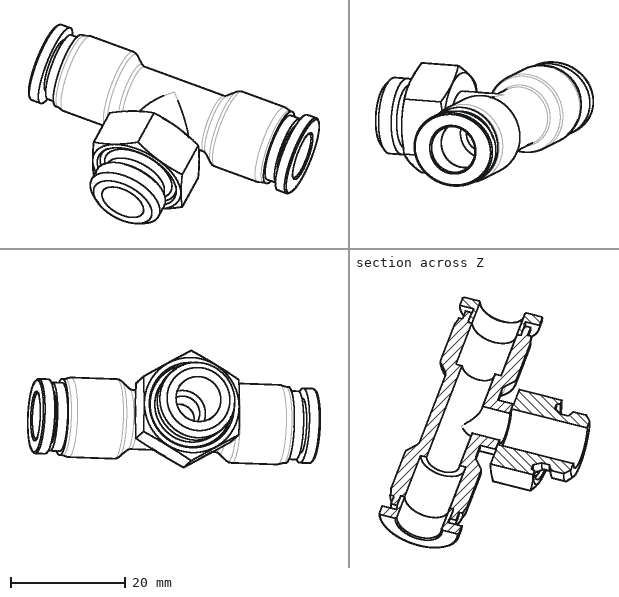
import cadquery as cq
import math

OVERALL_LENGTH = 49.4
OVERALL_DEPTH = 29.25

TUBE_DIA = 10.4
PASSAGE_DIA = 6.0
SOCKET_DIA = 14.0
LIP_DIA = 13.4
NOSE_DIA = 12.0
NOSE_END_X = 21.95
LIP_END_X = 20.15
LIP_LENGTH = 0.5
BARREL_START_X = 18.6
BARREL_CORNER_X = 10.1
SHOULDER_FOOT_X = 8.0
SHOULDER_FILLET = 1.0
TUBE_SEAT_DIA = 8.2
TUBE_STOP_X = 10.4

COLLAR_NECK_DIA = 9.6
COLLAR_BORE_DIA = 8.15
COLLAR_DEPTH = 4.95
COLLAR_BORE_CHAMFER = 0.25
FLANGE_THICKNESS = 2.0
FLANGE_HEIGHT = 13.05
FLANGE_WIDTH = 14.65
FLANGE_CHAMFER = 0.25

HEX_SIDES = 6
HEX_ACROSS_FLATS = 17.0
HEX_START = 8.05
HEX_LENGTH = 7.85
HEX_FACE_DIA = 16.9
HEX_CHAMFER = 0.5
STUD_BORE_DIA = 8.0
NECK_DIA = 11.2
NECK_ROOT_DIA = 12.95
THREAD_DIA = 13.4
THREAD_TIP_DIA = 11.2
TIP_CHAMFER_LENGTH = 1.0
THREAD_LENGTH = 2.35
THREAD_RUNOUT = 0.6
NECK_FLARE_LENGTH = 0.65
SEAL_MOUTH_DIA = 15.15
SEAL_FLOOR_DIA = 14.6
SEAL_DEPTH = 0.65

ORIGIN = (0, 0, 0)

COLLAR_FACE_X = OVERALL_LENGTH / 2
COLLAR_END_X = COLLAR_FACE_X - COLLAR_DEPTH
HEX_END = HEX_START + HEX_LENGTH
STUD_END = OVERALL_DEPTH - FLANGE_WIDTH / 2


def revolve_x(points):
    """Solid of revolution about X from (x, radius) points."""
    return cq.Workplane("XY").polyline(points).close().revolve(axisStart=ORIGIN, axisEnd=(1, 0, 0))


def revolve_y(points):
    """Solid of revolution about Y from (distance towards -Y, radius) points."""
    outline = [(radius, -distance) for distance, radius in points]
    return cq.Workplane("XY").polyline(outline).close().revolve(axisStart=ORIGIN, axisEnd=(0, 1, 0))


def make_run():
    """Outside of the run: a tube with a shoulder cone, barrel, lip and nose at each end."""
    end_profile = [
        (SHOULDER_FOOT_X, TUBE_DIA / 2),
        (BARREL_CORNER_X, SOCKET_DIA / 2),
        (BARREL_START_X, SOCKET_DIA / 2),
        (LIP_END_X - LIP_LENGTH, LIP_DIA / 2),
        (LIP_END_X, LIP_DIA / 2),
        (LIP_END_X, NOSE_DIA / 2),
        (NOSE_END_X, NOSE_DIA / 2),
        (NOSE_END_X, 0),
    ]
    mirrored_profile = [(-x, r) for x, r in reversed(end_profile)]
    run = revolve_x(mirrored_profile + end_profile)
    for side in (-1, 1):
        at_shoulder = cq.selectors.BoxSelector(
            (side * (SHOULDER_FOOT_X - SHOULDER_FILLET), -SOCKET_DIA, -SOCKET_DIA),
            (side * (BARREL_CORNER_X + SHOULDER_FILLET), SOCKET_DIA, SOCKET_DIA),
        )
        run = run.edges(at_shoulder).edges("%CIRCLE").fillet(SHOULDER_FILLET)
    return run


def tee_socket(side):
    """Cavity of one end: collar bore, then the seat of the hose."""
    return revolve_x([
        (side * TUBE_STOP_X, 0),
        (side * TUBE_STOP_X, TUBE_SEAT_DIA / 2),
        (side * COLLAR_END_X, TUBE_SEAT_DIA / 2),
        (side * COLLAR_END_X, COLLAR_NECK_DIA / 2),
        (side * NOSE_END_X, COLLAR_NECK_DIA / 2),
        (side * NOSE_END_X, 0),
    ])


def make_tee_body():
    """Run and branch in one piece, with the flow passages and both sockets."""
    branch = cq.Workplane("XZ").circle(TUBE_DIA / 2).extrude(HEX_START)
    tee = make_run().union(branch)
    run_passage = cq.Workplane("YZ").circle(PASSAGE_DIA / 2).extrude(TUBE_STOP_X, both=True)
    branch_passage = cq.Workplane("XZ").circle(PASSAGE_DIA / 2).extrude(HEX_START)
    return (
        tee.cut(run_passage).cut(branch_passage)
        .cut(tee_socket(1)).cut(tee_socket(-1))
    )


def make_release_collar(side):
    """Push-in collar: elliptical flange outside, round neck inside the barrel."""
    flange = (
        cq.Workplane("YZ", origin=(COLLAR_FACE_X, 0, 0))
        .ellipse(FLANGE_WIDTH / 2, FLANGE_HEIGHT / 2)
        .extrude(-FLANGE_THICKNESS)
        .faces(">X").edges().chamfer(FLANGE_CHAMFER)
    )
    neck = (
        cq.Workplane("YZ", origin=(COLLAR_END_X, 0, 0))
        .circle(COLLAR_NECK_DIA / 2)
        .extrude(COLLAR_DEPTH - FLANGE_THICKNESS)
    )
    bore = revolve_x([
        (COLLAR_END_X, 0),
        (COLLAR_END_X, COLLAR_BORE_DIA / 2),
        (COLLAR_FACE_X - COLLAR_BORE_CHAMFER, COLLAR_BORE_DIA / 2),
        (COLLAR_FACE_X, COLLAR_BORE_DIA / 2 + COLLAR_BORE_CHAMFER),
        (COLLAR_FACE_X, 0),
    ])
    collar = flange.union(neck).cut(bore)
    return collar if side > 0 else collar.mirror("YZ")


def make_hexagon():
    """Hexagon with corners up and down, its corners turned down at both faces."""
    corner_radius = HEX_ACROSS_FLATS / math.sqrt(3)
    prism = (
        cq.Workplane("XZ", origin=(0, -HEX_START, 0))
        .transformed(rotate=(0, 0, 90))
        .polygon(HEX_SIDES, 2 * corner_radius)
        .extrude(HEX_LENGTH)
    )
    turned_blank = revolve_y([
        (HEX_START, 0),
        (HEX_START, HEX_FACE_DIA / 2),
        (HEX_START + HEX_CHAMFER, corner_radius),
        (HEX_END - HEX_CHAMFER, corner_radius),
        (HEX_END, HEX_FACE_DIA / 2),
        (HEX_END, 0),
    ])
    return prism.intersect(turned_blank)


def make_threaded_stud():
    """Hexagon with a seal recess, and a bored shank with a flared neck and a thread."""
    seal_floor = HEX_END - SEAL_DEPTH
    thread_end = STUD_END - TIP_CHAMFER_LENGTH
    thread_start = thread_end - THREAD_LENGTH
    flare_end = HEX_END + NECK_FLARE_LENGTH
    seal_recess = revolve_y([
        (seal_floor, 0),
        (seal_floor, SEAL_FLOOR_DIA / 2),
        (HEX_END, SEAL_MOUTH_DIA / 2),
        (HEX_END, 0),
    ])
    shank = revolve_y([
        (seal_floor, 0),
        (seal_floor, NECK_ROOT_DIA / 2),
        (flare_end, NECK_DIA / 2),
        (thread_start - THREAD_RUNOUT, NECK_DIA / 2),
        (thread_start, THREAD_DIA / 2),
        (thread_end, THREAD_DIA / 2),
        (STUD_END, THREAD_TIP_DIA / 2),
        (STUD_END, 0),
    ])
    bore = (
        cq.Workplane("XZ", origin=(0, -HEX_START, 0))
        .circle(STUD_BORE_DIA / 2)
        .extrude(STUD_END - HEX_START)
    )
    return make_hexagon().cut(seal_recess).union(shank).cut(bore)


tee_body = make_tee_body()
threaded_stud = make_threaded_stud()
release_collars = [make_release_collar(side) for side in (-1, 1)]

result = cq.Compound.makeCompound([
    tee_body.val(),
    threaded_stud.val(),
    *[collar.val() for collar in release_collars],
])